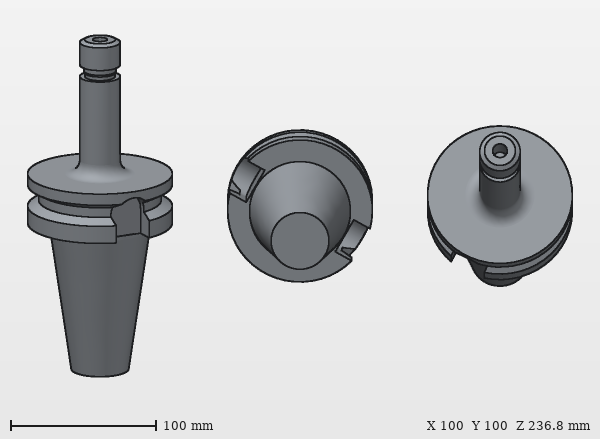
import cadquery as cq

total_height = 236.8
flange_radius = 50.0
flange_height = 35.5
upper_rim_height = 8.0
groove_radius = 42.5
upper_bevel_height = 4.0
groove_width = 6.9
lower_bevel_height = 4.3

taper_length = 101.8
taper_large_radius = 34.8
taper_small_radius = taper_large_radius - taper_length * 7 / 48
collar_length = 3.0

shank_radius = 14.0
shank_top = 210.3
blend_radius = 10.0

lower_neck_radius = 10.5
upper_neck_radius = 11.1
neck_step_bottom = 213.0
neck_step_top = 214.3

nut_height = 18.2
nut_chamfer_height = 2.0
nut_face_radius = 10.7
bore_radius = 5.0
bore_depth = nut_height

slot_width = 25.8
slot_floor_distance = 35.3
slot_top_gap = 4.5

flange_bottom = taper_length + collar_length
flange_top = flange_bottom + flange_height
upper_rim_bottom = flange_top - upper_rim_height
groove_top = upper_rim_bottom - upper_bevel_height
groove_bottom = groove_top - groove_width
lower_rim_top = groove_bottom - lower_bevel_height
nut_bottom = total_height - nut_height


def holder_body():
    """Revolve the half profile of taper, flange, shank, neck and nut about Z."""
    profile = (
        cq.Workplane("XZ")
        .lineTo(taper_small_radius, 0)
        .lineTo(taper_large_radius, taper_length)
        .lineTo(taper_large_radius, flange_bottom)
        .lineTo(flange_radius, flange_bottom)
        .lineTo(flange_radius, lower_rim_top)
        .lineTo(groove_radius, groove_bottom)
        .lineTo(groove_radius, groove_top)
        .lineTo(flange_radius, upper_rim_bottom)
        .lineTo(flange_radius, flange_top)
        .lineTo(shank_radius + blend_radius, flange_top)
        .radiusArc((shank_radius, flange_top + blend_radius), blend_radius)
        .lineTo(shank_radius, shank_top)
        .lineTo(lower_neck_radius, shank_top)
        .lineTo(lower_neck_radius, neck_step_bottom)
        .lineTo(upper_neck_radius, neck_step_top)
        .lineTo(upper_neck_radius, nut_bottom)
        .lineTo(shank_radius, nut_bottom)
        .lineTo(shank_radius, total_height - nut_chamfer_height)
        .lineTo(nut_face_radius, total_height)
        .lineTo(0, total_height)
        .close()
    )
    return profile.revolve(360, (0, 0, 0), (0, 1, 0))


def drive_slot(side):
    """Round-topped slot cutter on the +X (side = 1) or -X (side = -1) flank."""
    half_width = slot_width / 2
    slot_top = flange_top - slot_top_gap
    arch_start = slot_top - half_width
    return (
        cq.Workplane("YZ", origin=(side * slot_floor_distance, 0, 0))
        .moveTo(-half_width, flange_bottom)
        .lineTo(half_width, flange_bottom)
        .lineTo(half_width, arch_start)
        .threePointArc((0, slot_top), (-half_width, arch_start))
        .close()
        .extrude(side * flange_radius)
    )


def nut_bore():
    """Blind tool bore entering from the nut face."""
    return cq.Workplane("XY", origin=(0, 0, total_height)).circle(bore_radius).extrude(-bore_depth)


result = holder_body().cut(nut_bore())
for side in (-1, 1):
    result = result.cut(drive_slot(side))